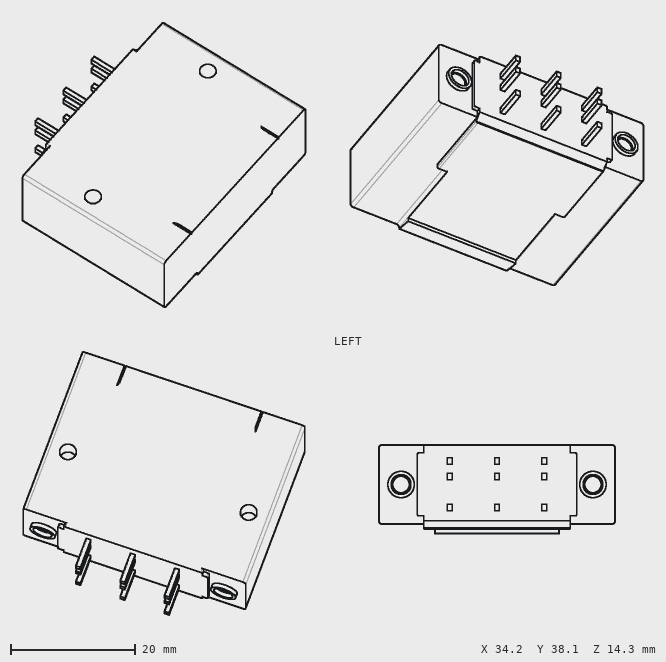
import cadquery as cq
import math


total_length = 34.25
total_width = 38.1
total_height = 14.33
pin_length = 5.0

housing_setback = 0.72
housing_height = 12.8
housing_edge_radius = 0.55
front_face_x = pin_length
housing_front_x = front_face_x + housing_setback

insert_width = 23.7
insert_height = 13.6
insert_edge_radius = 0.25
wing_span = 25.68
wing_top_z = -1.3
wing_bottom_z = -11.45
front_chamfer = 1.15
front_chamfer_land = 0.2
wide_base_end_x = 18.65
base_blend_radius = housing_edge_radius

latch_length = 2.97
latch_width = 20.05

flange_hole_y = 15.45
sleeve_z = -6.4
sleeve_radius = 2.15
sleeve_recess_radius = 1.6
sleeve_recess_depth = 0.75
sleeve_bore_radius = 1.35
sleeve_bore_depth = 7.62
top_hole_x = 17.25
top_hole_radius = 1.35
top_hole_depth = 3.8

pin_width = 0.8
pin_height = 1.05
pin_pitch_y = 7.6
pin_pitch_z = 2.5
pin_top_row_z = -2.6
pin_rows = (0, 1, 3)
pin_columns = (-1, 0, 1)

notch_length = 3.6
notch_taper_length = 0.65
notch_flat_length = 1.83


def box(x_min, x_max, width, z_min, z_max):
    """Box centred on Y = 0, given by its X and Z limits."""
    return (
        cq.Workplane("XY")
        .box(x_max - x_min, width, z_max - z_min, centered=(False, True, False))
        .translate((x_min, 0, z_min))
    )


def rod(x_start, x_end, y, z, radius):
    """Cylinder along X."""
    return cq.Workplane("YZ", origin=(x_start, y, z)).circle(radius).extrude(x_end - x_start)


def make_housing():
    block = box(housing_front_x, total_length, total_width, -housing_height, 0)
    return block.edges("|X").fillet(housing_edge_radius)


def make_insert():
    """Front part of the insert: a wide core with a wing on each side."""
    core = box(front_face_x, wide_base_end_x, insert_width, -insert_height, 0)
    core = core.edges("|X").fillet(insert_edge_radius)
    wings = box(front_face_x, wide_base_end_x, wing_span, wing_bottom_z, wing_top_z)
    wings = wings.edges("|X").fillet(insert_edge_radius)
    chamfer_top_z = front_chamfer + front_chamfer_land - insert_height
    chamfer_cutter = (
        cq.Workplane("XZ")
        .moveTo(front_face_x, chamfer_top_z)
        .lineTo(front_face_x + front_chamfer, chamfer_top_z - front_chamfer)
        .lineTo(front_face_x + front_chamfer, -insert_height)
        .lineTo(front_face_x, -insert_height)
        .close()
        .extrude(total_width / 2, both=True)
    )
    return core.union(wings).cut(chamfer_cutter)


def make_rear_base():
    """Rear part of the insert base, as wide as the latch and blended into the housing underside."""
    half_narrow = latch_width / 2
    blend_start_y = half_narrow + base_blend_radius
    blend_end_z = -housing_height - base_blend_radius
    blend_offset = base_blend_radius * (1 - math.sin(math.pi / 4))
    blend_mid_y = half_narrow + blend_offset
    blend_mid_z = -housing_height - blend_offset
    return (
        cq.Workplane("YZ", origin=(wide_base_end_x, 0, 0))
        .moveTo(0, wing_bottom_z)
        .lineTo(blend_start_y, wing_bottom_z)
        .lineTo(blend_start_y, -housing_height)
        .threePointArc((blend_mid_y, blend_mid_z), (half_narrow, blend_end_z))
        .lineTo(half_narrow, -insert_height)
        .lineTo(0, -insert_height)
        .mirrorY()
        .extrude(total_length - wide_base_end_x)
    )


def make_latch():
    """Wedge that is deepest at its front and rises towards the rear face."""
    return (
        cq.Workplane("XZ")
        .moveTo(total_length - latch_length, -housing_height)
        .lineTo(total_length - latch_length, -total_height)
        .lineTo(total_length, -insert_height)
        .lineTo(total_length, -housing_height)
        .close()
        .extrude(latch_width / 2, both=True)
    )


def make_pins():
    pins = cq.Workplane("XY")
    for row in pin_rows:
        for column in pin_columns:
            pin = box(0, housing_front_x, pin_width, -pin_height / 2, pin_height / 2)
            pins = pins.add(pin.translate((0, column * pin_pitch_y, pin_top_row_z - row * pin_pitch_z)))
    return pins.combine()


def make_notch(side):
    """Notch along one insert edge: a tapered bevel, then a flat-floored step to the rear."""
    size = insert_edge_radius
    outer_y = insert_width / 2
    inner_y = outer_y - size
    start_x = total_length - notch_length
    flat_x = total_length - notch_flat_length
    bevel = (
        cq.Workplane("YZ", origin=(start_x, 0, 0))
        .polyline([(inner_y, 0), (outer_y, -size), (outer_y, 0)])
        .close()
        .extrude(flat_x - start_x)
    )
    step = cq.Workplane("XY").box(notch_flat_length, size, size, centered=False)
    step = step.translate((flat_x, inner_y, -size))
    plan_limit = (
        cq.Workplane("XY", origin=(0, 0, -size))
        .polyline([
            (start_x, outer_y),
            (start_x + notch_taper_length, inner_y),
            (total_length, inner_y),
            (total_length, outer_y),
        ])
        .close()
        .extrude(size)
    )
    notch = bevel.union(step).intersect(plan_limit)
    return notch if side > 0 else notch.mirror("XZ")


def add_sleeve(body, hole_y):
    """Sleeve ring on the flange front, with its recess and blind bore."""
    recess_end_x = front_face_x + sleeve_recess_depth
    bore_end_x = front_face_x + sleeve_bore_depth
    ring = rod(front_face_x, recess_end_x, hole_y, sleeve_z, sleeve_radius)
    recess = rod(front_face_x, recess_end_x, hole_y, sleeve_z, sleeve_recess_radius)
    bore = rod(front_face_x, bore_end_x, hole_y, sleeve_z, sleeve_bore_radius)
    return body.union(ring).cut(recess).cut(bore)


def make_top_hole(hole_y):
    hole = cq.Workplane("XY", origin=(top_hole_x, hole_y, 0))
    return hole.circle(top_hole_radius).extrude(-top_hole_depth)


result = make_housing().union(make_insert()).union(make_rear_base())
result = result.union(make_latch()).union(make_pins())

for side in (1, -1):
    result = add_sleeve(result, side * flange_hole_y)
    result = result.cut(make_top_hole(side * flange_hole_y))
    result = result.cut(make_notch(side))